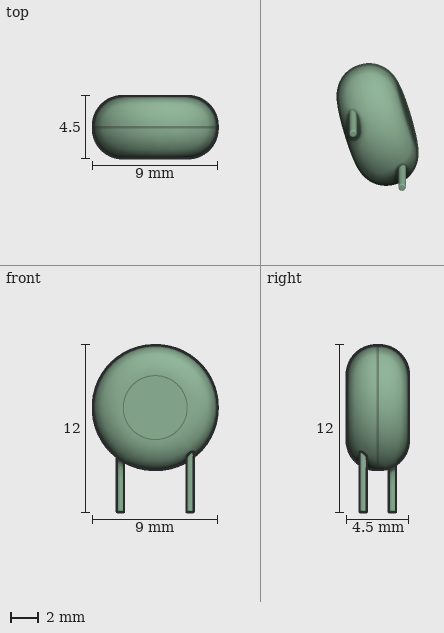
import cadquery as cq

body_diameter = 9.0
body_thickness = 4.5
rim_band_width = 0.1
standoff = 0.03
rim_radius = (body_thickness - rim_band_width) / 2
body_center_z = standoff + body_diameter / 2

lead_diameter = 0.54
lead_pitch_x = 5.0
lead_pitch_y = 2.1
lead_length = 3.0
lead_tip_radius = 0.1


def make_body():
    """Round disc with both rims fully rounded, centred on X = 0, Y = 0."""
    disc = cq.Workplane("XZ").circle(body_diameter / 2).extrude(body_thickness / 2, both=True)
    disc = disc.edges("%CIRCLE").fillet(rim_radius)
    return disc.translate((0, 0, body_center_z))


def make_lead(x, y):
    """Straight wire with a rounded lower tip, running up into the body."""
    wire = cq.Workplane("XY").circle(lead_diameter / 2).extrude(lead_length + body_center_z)
    wire = wire.faces("<Z").edges().fillet(lead_tip_radius)
    return wire.translate((x, y, -lead_length))


result = make_body()
for side in (-1, 1):
    result = result.union(make_lead(side * lead_pitch_x / 2, -side * lead_pitch_y / 2))